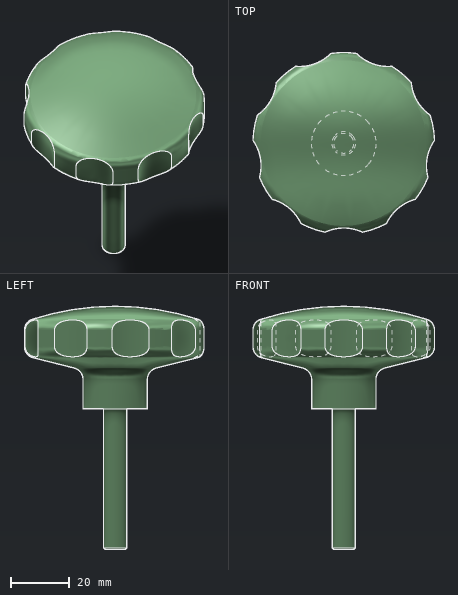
import cadquery as cq
import math

STUD_LENGTH = 48.0
STUD_RADIUS = 4.0
STUD_CHAMFER = 0.6

HUB_RADIUS = 11.0
HUB_STRAIGHT_HEIGHT = 10.0
HUB_FILLET = 4.0

RIM_RADIUS = 31.0
RIM_BAND_BOTTOM = 21.25
RIM_BAND_TOP = 26.75
RIM_FILLET = 4.0
HEAD_TOP = 35.0

SCALLOP_COUNT = 9
SCALLOP_RADIUS = 15.0
SCALLOP_FLOOR_RADIUS = 28.9
FIRST_SCALLOP_ANGLE = -90.0


def on_circle(center, radius, angle):
    """Point at an angle (radians) on a circle in the radius-height half plane."""
    return (center[0] + radius * math.cos(angle), center[1] + radius * math.sin(angle))


def make_head():
    """Revolved hub, conical underside, rounded rim and domed top, all tangent to each other."""
    rim_center_radius = RIM_RADIUS - RIM_FILLET
    lower_rim_center = (rim_center_radius, RIM_BAND_BOTTOM)
    upper_rim_center = (rim_center_radius, RIM_BAND_TOP)
    hub_fillet_center = (HUB_RADIUS + HUB_FILLET, HUB_STRAIGHT_HEIGHT)

    run = lower_rim_center[0] - hub_fillet_center[0]
    rise = lower_rim_center[1] - hub_fillet_center[1]
    cone_slope = math.atan2(rise, run) - math.asin((HUB_FILLET + RIM_FILLET) / math.hypot(run, rise))
    hub_normal = cone_slope + math.pi / 2
    rim_normal = cone_slope - math.pi / 2

    apex_rise = HEAD_TOP - RIM_BAND_TOP
    dome_radius = (rim_center_radius**2 + apex_rise**2 - RIM_FILLET**2) / (2 * (apex_rise - RIM_FILLET))
    dome_center = (0, HEAD_TOP - dome_radius)
    dome_edge_angle = math.atan2(RIM_BAND_TOP - dome_center[1], rim_center_radius)

    profile = (
        cq.Workplane("XZ")
        .lineTo(HUB_RADIUS, 0)
        .lineTo(HUB_RADIUS, HUB_STRAIGHT_HEIGHT)
        .threePointArc(
            on_circle(hub_fillet_center, HUB_FILLET, (math.pi + hub_normal) / 2),
            on_circle(hub_fillet_center, HUB_FILLET, hub_normal),
        )
        .lineTo(*on_circle(lower_rim_center, RIM_FILLET, rim_normal))
        .threePointArc(
            on_circle(lower_rim_center, RIM_FILLET, rim_normal / 2),
            (RIM_RADIUS, RIM_BAND_BOTTOM),
        )
        .lineTo(RIM_RADIUS, RIM_BAND_TOP)
        .threePointArc(
            on_circle(upper_rim_center, RIM_FILLET, dome_edge_angle / 2),
            on_circle(upper_rim_center, RIM_FILLET, dome_edge_angle),
        )
        .threePointArc(
            on_circle(dome_center, dome_radius, (dome_edge_angle + math.pi / 2) / 2),
            (0, HEAD_TOP),
        )
        .close()
    )
    return profile.revolve(360, (0, 0, 0), (0, 1, 0))


def make_scallops():
    """Vertical cylinders spaced evenly around the rim that cut the finger grips."""
    return (
        cq.Workplane("XY")
        .polarArray(SCALLOP_FLOOR_RADIUS + SCALLOP_RADIUS, FIRST_SCALLOP_ANGLE, 360, SCALLOP_COUNT)
        .circle(SCALLOP_RADIUS)
        .extrude(HEAD_TOP, combine=False)
    )


def make_stud():
    """Plain stud below the hub with a chamfered tip."""
    return (
        cq.Workplane("XY")
        .circle(STUD_RADIUS)
        .extrude(-STUD_LENGTH)
        .faces("<Z")
        .chamfer(STUD_CHAMFER)
    )


result = make_head().cut(make_scallops()).union(make_stud())